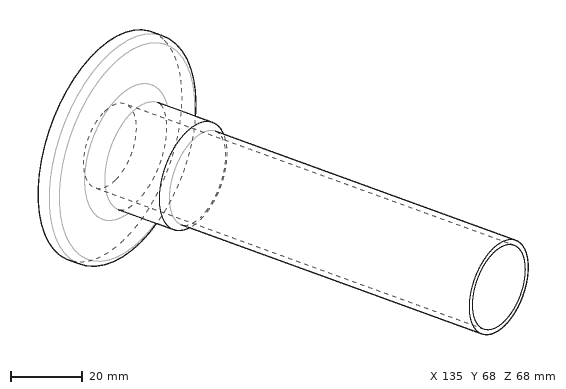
import cadquery as cq
import math

total_length = 135.0
bore_diameter = 25.0
tube_diameter = 28.0
collar_diameter = 32.0
flange_diameter = 68.0

flange_thickness = 6.0
flange_edge_radius = 2.0
flange_blend_radius = 4.0
collar_end = 28.9

bore_radius = bore_diameter / 2
tube_radius = tube_diameter / 2
collar_radius = collar_diameter / 2
flange_radius = flange_diameter / 2

step_radius = collar_radius - tube_radius

half_way = math.sqrt(0.5)


def add_rounding(profile, center, radius, middle_direction, end):
    """Continue the profile with a quarter arc bulging towards middle_direction."""
    middle = (
        center[0] + middle_direction[0] * radius * half_way,
        center[1] + middle_direction[1] * radius * half_way,
    )
    return profile.threePointArc(middle, end)


rim_end = flange_thickness - flange_edge_radius
rim_arc_center = (rim_end, flange_radius - flange_edge_radius)
blend_end = flange_thickness + flange_blend_radius
blend_arc_center = (blend_end, collar_radius + flange_blend_radius)
step_end = collar_end + step_radius
step_arc_center = (step_end, collar_radius)

outward = (1, 1)
into_corner = (-1, -1)

profile = cq.Workplane("XY").moveTo(0, bore_radius)
profile = profile.lineTo(0, flange_radius).lineTo(rim_end, flange_radius)
profile = add_rounding(
    profile, rim_arc_center, flange_edge_radius, outward, (flange_thickness, rim_arc_center[1])
)

profile = profile.lineTo(flange_thickness, blend_arc_center[1])
profile = add_rounding(
    profile, blend_arc_center, flange_blend_radius, into_corner, (blend_end, collar_radius)
)

profile = profile.lineTo(collar_end, collar_radius)
profile = add_rounding(profile, step_arc_center, step_radius, into_corner, (step_end, tube_radius))

profile = profile.lineTo(total_length, tube_radius).lineTo(total_length, bore_radius).close()

result = profile.revolve(360, (0, 0, 0), (1, 0, 0))